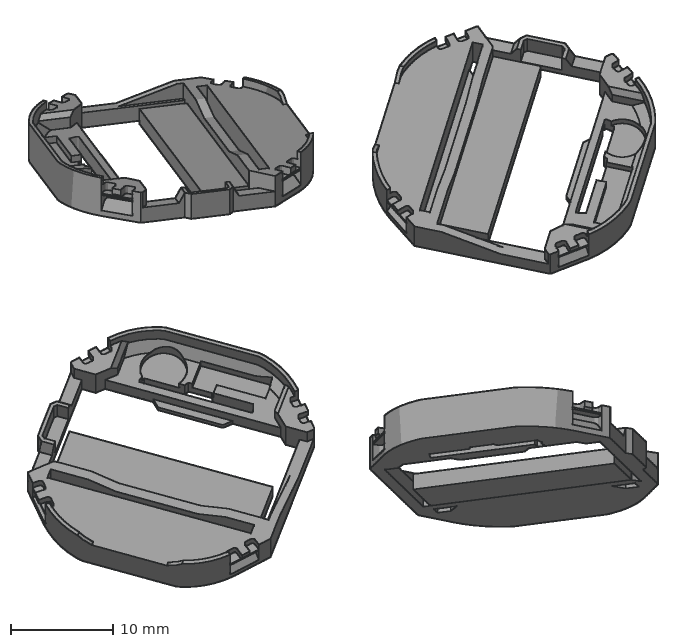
import cadquery as cq
import math

half_width = 12.48
half_length = 13.0
corner_y = 6.84
arc_start = (9.8, 10.03)
arc_end = (5.4, 12.87)
arc_radius = 9.35
end_flat_half = 4.8

rim_z = 4.08
deck_z = 3.25
floor_z = 1.6
rim_wall = 0.42
rail_width = 1.3

rear_y = 4.78
strut_width = 1.01
slot_half_width = 10.45
slot_y = rear_y + strut_width
saddle_z = 2.47
saddle_top_x = (-7.45, 6.6)
saddle_ramp = 2.8
rim_ramp_x = (5.35, 3.85)

ridge_width = 0.85
ridge_slope_y = (4.1, -1.82)

front_y = -6.85
bevel = 0.95
lug_y = -6.13
lug_inner_x = 8.05
lug_flat_x = 9.75
lug_chamfer = 0.52
recess_z = 0.9

ledge_thickness = 0.52
rear_ledge_half = 9.1
front_ledge_half = 3.33
front_ledge_reach = 0.75
ledge_fillet = 0.25

front_slot_y = (-7.67, -8.68, -9.1)
front_slot_half = (5.87, 5.61)
widening_half = (1.45, 1.2)
front_slot_fillet = 0.18

long_recess_x = (-6.52, 0.8)
long_recess_y = (-11.77, -9.7)
short_recess_x = -1.5
round_recess_center = (4.0, -9.88)
round_recess_radius = 2.3

notch_x = (5.0, 5.72)
notch_depth = 0.68
notch_z = 0.78

bump_x = 13.0
bump_y = 0.1
bump_half = 2.47
bump_z = 2.65
bump_ramp = 0.6
bump_wall = 0.42
bump_pocket_z = 0.68

pocket_start_front = 0.9
pocket_start_rear = 1.35
pocket_length = 3.27
pocket_depth = 1.0
pocket_fillet = 0.3
pocket_z = 0.6
pocket_back_z = 1.65
tooth_width = 0.9
tooth_offset = 1.15
tooth_reach = 0.195
tooth_z = 2.65
plate_z = 2.24
plate_thickness = 0.18
plate_top = plate_z + plate_thickness

slab_front_y = -0.05


def box(x0, x1, y0, y1, z0, z1):
    return cq.Workplane("XY").box(x1 - x0, y1 - y0, z1 - z0, centered=False).translate((x0, y0, z0))


def prism(points, z0, z1):
    return cq.Workplane("XY").workplane(offset=z0).polyline(points).close().extrude(z1 - z0)


def outline(z0=0.0):
    """Closed outer outline of the frame on the plane z = z0."""
    ax, ay = arc_start
    bx, by = arc_end
    return (
        cq.Workplane("XY").workplane(offset=z0)
        .moveTo(half_width, -corner_y)
        .lineTo(half_width, corner_y)
        .lineTo(ax, ay)
        .radiusArc((bx, by), -arc_radius)
        .lineTo(end_flat_half, half_length)
        .lineTo(-end_flat_half, half_length)
        .lineTo(-bx, by)
        .radiusArc((-ax, ay), -arc_radius)
        .lineTo(-half_width, corner_y)
        .lineTo(-half_width, -corner_y)
        .lineTo(-ax, -ay)
        .radiusArc((-bx, -by), -arc_radius)
        .lineTo(-end_flat_half, -half_length)
        .lineTo(end_flat_half, -half_length)
        .lineTo(bx, -by)
        .radiusArc((ax, -ay), -arc_radius)
        .close()
    )


def outline_prism(z0, z1, inset=0.0):
    if inset:
        return outline(z0).offset2D(-inset).extrude(z1 - z0)
    return outline(z0).extrude(z1 - z0)


corner_angle = math.degrees(math.atan2(arc_start[1] - corner_y, half_width - arc_start[0]))
corners = [(-1, -1), (1, -1), (-1, 1), (1, 1)]


def at_corner(body, side, end):
    """Move a body from corner axes (X along the slanted face from the side face, Y inward) to one corner."""
    body = body.rotate((0, 0, 0), (0, 0, 1), -corner_angle).translate((-half_width, -corner_y, 0))
    if side > 0:
        body = body.mirror("YZ")
    if end > 0:
        body = body.mirror("XZ")
    return body


def pocket_start(end):
    return pocket_start_rear if end > 0 else pocket_start_front


def base_ring():
    """Rear block, front floor and both side rails, without slots."""
    rear = outline_prism(0, deck_z).intersect(box(-half_width, half_width, rear_y, half_length, 0, deck_z))
    step = half_width - slot_half_width
    beyond = half_width + step
    cutoff = [
        (slot_half_width, corner_y - step), (beyond, corner_y + step), (beyond, 0), (slot_half_width, 0)]
    rear = rear.cut(prism(cutoff, 0, deck_z))
    front = outline_prism(0, floor_z).intersect(
        box(-half_width, half_width, -half_length, front_y, 0, floor_z))
    ring = rear.union(front)
    for side in (-1, 1):
        edges = sorted((side * half_width, side * (half_width - rail_width)))
        ring = ring.union(box(*edges, -corner_y, corner_y, 0, floor_z))
    return ring


def left_ridge():
    """Raised outer edge of the left rail, sloping down from the rear block."""
    high_y, low_y = ridge_slope_y
    profile = [(rear_y, 0), (rear_y, deck_z), (high_y, deck_z), (low_y, floor_z), (low_y, 0)]
    return cq.Workplane("YZ").polyline(profile).close().extrude(ridge_width).translate((-half_width, 0, 0))


def rim():
    """Tall wall along the front end and along the rounded parts of the rear end."""
    ring = outline_prism(0, rim_z).cut(outline_prism(0, rim_z, rim_wall))
    front = ring.intersect(box(-arc_start[0], arc_start[0], -half_length, -corner_y, 0, rim_z))
    rear = ring.intersect(box(-arc_start[0], arc_start[0], corner_y, half_length, 0, rim_z))
    high_x, low_x = rim_ramp_x
    gap = [(-high_x, rim_z), (-low_x, deck_z), (low_x, deck_z), (high_x, rim_z)]
    rear = rear.cut(cq.Workplane("XZ").polyline(gap).close().extrude(-half_length))
    return front.union(rear)


def front_bevel():
    """Sloping strip that joins the front floor to the inside of the rim."""
    hollow = outline(floor_z).offset2D(-rim_wall - bevel).extrude(bevel, taper=-45)
    strip = outline_prism(floor_z, floor_z + bevel, rim_wall / 2).cut(hollow)
    return strip.intersect(box(-lug_inner_x, lug_inner_x, -half_length, lug_y, floor_z, rim_z))


def front_lug(side):
    """Raised corner block beside the front floor."""
    tip = half_width - lug_chamfer
    lug = prism(
        [(half_width, -half_length), (half_width, lug_y - lug_chamfer), (tip, lug_y), (lug_flat_x, lug_y),
         (lug_inner_x, lug_y - lug_flat_x + lug_inner_x), (lug_inner_x, -half_length)], 0, deck_z)
    chamfer = [
        (lug_inner_x, deck_z - lug_chamfer), (lug_inner_x, deck_z), (lug_inner_x + lug_chamfer, deck_z)]
    lug = lug.cut(cq.Workplane("XZ").polyline(chamfer).close().extrude(half_length))
    lug = lug.intersect(outline_prism(0, deck_z))
    return lug.mirror("YZ") if side < 0 else lug


def rear_slot():
    return box(-slot_half_width, slot_half_width, slot_y, corner_y, 0, deck_z)


def saddle():
    """Dip in the top of the bar in front of the rear slot."""
    left, right = saddle_top_x
    dip = [(left, deck_z), (left + saddle_ramp, saddle_z), (right - saddle_ramp, saddle_z), (right, deck_z)]
    return cq.Workplane("XZ").polyline(dip).close().extrude(-strut_width).translate((0, rear_y, 0))


def rear_ledge():
    """Thin floor across the middle of the rear slot, open at both ends."""
    wide = rear_ledge_half
    narrow = wide - strut_width
    points = [(-wide, corner_y), (-narrow, slot_y), (narrow, slot_y), (wide, corner_y)]
    return prism(points, 0, ledge_thickness)


def front_ledge():
    """Thin tongue from the front floor into the opening, with 45 degree flanks."""
    tip = front_ledge_half
    root = tip + front_ledge_reach
    tip_y = front_y + front_ledge_reach
    tongue = prism([(-root, front_y), (-tip, tip_y), (tip, tip_y), (root, front_y)], 0, ledge_thickness)
    return tongue.edges("|Z and >Y").fillet(ledge_fillet)


def front_slot():
    rear_edge, front_edge, widened_edge = front_slot_y
    rear_half, front_half = front_slot_half
    root, bottom = widening_half
    right_side = [
        (rear_half, rear_edge), (front_half, front_edge), (root, front_edge), (bottom, widened_edge)]
    left_side = [(-x, y) for x, y in reversed(right_side)]
    return prism(right_side + left_side, 0, floor_z).edges("|Z and >Y").fillet(front_slot_fillet)


def bar_notch():
    rear_edge = front_slot_y[0]
    return box(*notch_x, rear_edge, rear_edge + notch_depth, 0, notch_z)


def component_recesses():
    """Stepped rectangular recess and round recess in the front floor, both open to the slot."""
    rear_edge, front_edge, _ = front_slot_y
    long_part = box(*long_recess_x, *long_recess_y, recess_z, rim_z)
    short_part = box(short_recess_x, long_recess_x[1], long_recess_y[0], front_edge, recess_z, rim_z)
    disc = cq.Workplane("XY").workplane(offset=recess_z).center(*round_recess_center)
    disc = disc.circle(round_recess_radius).extrude(rim_z - recess_z)
    disc = disc.intersect(box(0, half_width, -half_length, rear_edge, recess_z, rim_z))
    return long_part.union(short_part).union(disc)


def bump_outline(inset):
    """Half-octagon outline of the side bump, reaching inward to the rail's inner face."""
    slant = bump_x - half_width
    half = bump_half - inset
    outer = bump_x - inset
    inner = half_width - rail_width
    corner = slant - inset * (2 - math.sqrt(2))
    return [(inner, bump_y - half), (outer - corner, bump_y - half), (outer, bump_y - half + corner),
            (outer, bump_y + half - corner), (outer - corner, bump_y + half), (inner, bump_y + half)]


def side_bump():
    body = prism(bump_outline(0), 0, bump_z)
    low, high = bump_half + bump_ramp, bump_half
    ramp = [(-low, floor_z), (-high, bump_z), (high, bump_z), (low, floor_z)]
    ramp = cq.Workplane("YZ").polyline(ramp).close().extrude(rail_width)
    ramp = ramp.translate((half_width - rail_width, bump_y, 0))
    return body.union(ramp)


def bump_pocket():
    return prism(bump_outline(bump_wall), bump_pocket_z, bump_z)


def pocket_prism(z0, z1):
    """Full corner pocket footprint with rounded back corners, in corner axes."""
    pocket = box(0, pocket_length, 0, pocket_depth, z0, z1)
    return pocket.edges("|Z and >Y").fillet(pocket_fillet)


def corner_pocket(end):
    """Window, plate seat, two notches beside the tooth and the gap in the rim, in corner axes."""
    seat = pocket_prism(pocket_z, plate_top)
    wedge = [(0, pocket_z), (pocket_depth, pocket_z), (pocket_depth, pocket_back_z)]
    slope = cq.Workplane("YZ").polyline(wedge).close().extrude(pocket_length)
    pocket = seat.cut(slope)
    tooth_end = tooth_offset + tooth_width
    for start, stop in ((0, tooth_offset), (tooth_end, pocket_length)):
        notch = box(start, stop, 0, pocket_depth, plate_top, deck_z).edges("|Z and >Y").fillet(pocket_fillet)
        pocket = pocket.union(notch)
    rim_gap = box(0, pocket_length, -tooth_reach, pocket_depth, deck_z, rim_z)
    return pocket.union(rim_gap).translate((pocket_start(end), 0, 0))


def tooth(end):
    """Hook that stands out of the slanted face between the notches, in corner axes."""
    profile = [
        (-tooth_reach, deck_z), (-tooth_reach, tooth_z), (0, plate_top), (pocket_depth, plate_top),
        (pocket_depth, deck_z)]
    hook = cq.Workplane("YZ").polyline(profile).close().extrude(tooth_width)
    return hook.translate((pocket_start(end) + tooth_offset, 0, 0))


def make_frame():
    body = base_ring().union(left_ridge()).union(front_bevel()).union(rim())
    body = body.cut(component_recesses()).cut(front_slot()).cut(bar_notch())
    for side in (-1, 1):
        body = body.union(front_lug(side))
    body = body.cut(rear_slot()).cut(saddle())
    body = body.union(rear_ledge()).union(front_ledge())
    body = body.union(side_bump()).cut(bump_pocket())
    for side, end in corners:
        body = body.cut(at_corner(corner_pocket(end), side, end))
        body = body.union(at_corner(tooth(end), side, end))
    return body


def make_slab():
    return box(-slot_half_width, slot_half_width, slab_front_y, rear_y, 0, floor_z)


def make_corner_plate(side, end):
    """Thin plate that fills the corner pocket just above its window."""
    plate = pocket_prism(plate_z, plate_top).translate((pocket_start(end), 0, 0))
    return at_corner(plate, side, end).intersect(outline_prism(0, deck_z))


frame = make_frame()
slab = make_slab()
plates = [make_corner_plate(side, end) for side, end in corners]

result = cq.Compound.makeCompound([frame.val(), slab.val(), *[plate.val() for plate in plates]])